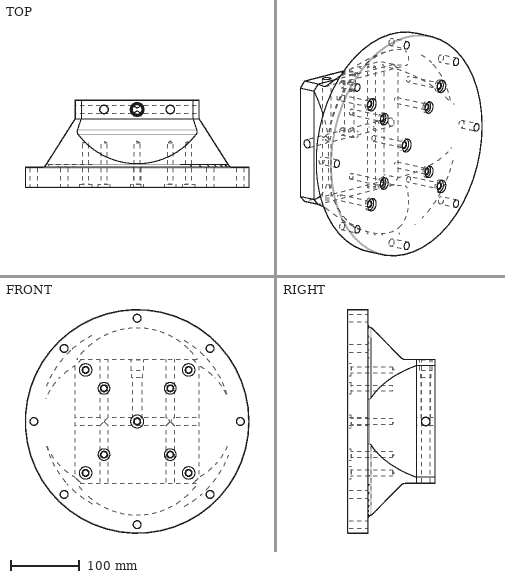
import cadquery as cq
import math

DISC_DIAMETER = 325.0
DISC_THICKNESS = 30.0
DISC_EDGE_RADIUS = 1.0
RIM_HOLE_COUNT = 8
RIM_HOLE_DIAMETER = 11.0
RIM_HOLE_CIRCLE_RADIUS = 149.8

TOTAL_DEPTH = 127.0
BLOCK_SIDE = 180.0
BLOCK_THICKNESS = 27.0
BLOCK_CORNER_CHAMFER = 9.0

CONE_BASE_RADIUS = 137.0
CONE_END_RADIUS = 121.2
SIDE_BASE_HALF_WIDTH = 134.5
TOP_BASE_HALF_HEIGHT = 141.0
STRAIGHT_LENGTH = 19.8
BEND_RADIUS = 9.0
FOOT_FILLET_RADIUS = 5.2

CROSS_HOLE_DIAMETER = 12.0
CROSS_HOLE_OFFSET = 48.0
AXIAL_HOLE_DIAMETER = 11.0
PORT_STEPS = [(18.2, 16.2), (16.0, 26.0), (14.0, BLOCK_SIDE / 2)]
PORT_MOUTH_DIAMETER = 20.0
CHAMFER_ANGLE = 45.0

DRILL_POINT_ANGLE = 118.0
DRILL_DIAMETER = 8.5
DRILL_MOUTH_DIAMETER = 10.0
COUNTERBORE_DEPTH = 5.0
INNER_HOLE_OFFSET = 48.0
INNER_COUNTERBORE_DIAMETER = 17.0
OUTER_HOLE_OFFSET = 74.8
OUTER_COUNTERBORE_DIAMETER = 18.2
CENTRE_COUNTERBORE_DIAMETER = 19.0
FRONT_HOLE_DEPTH = 65.0

BLOCK_FRONT_Y = TOTAL_DEPTH - BLOCK_THICKNESS
BLOCK_MIDDLE_Y = TOTAL_DEPTH - BLOCK_THICKNESS / 2
HALF_SIDE = BLOCK_SIDE / 2
DRILL_MOUTH_CHAMFER = (DRILL_MOUTH_DIAMETER - DRILL_DIAMETER) / 2
PORT_MOUTH_CHAMFER = (PORT_MOUTH_DIAMETER - PORT_STEPS[0][0]) / 2


def y_cylinder(diameter, x, z, length):
    """Cylinder along +Y that starts on the front plane, Y = 0."""
    return cq.Workplane("XZ").center(x, z).circle(diameter / 2).extrude(-length)


def front_hole(x, z, bore_diameter):
    """Counterbore, chamfered mouth, drilled hole and conical point along +Y."""
    bore_radius = bore_diameter / 2
    mouth_radius = DRILL_MOUTH_DIAMETER / 2
    drill_radius = DRILL_DIAMETER / 2
    point_length = drill_radius / math.tan(math.radians(DRILL_POINT_ANGLE / 2))
    profile = [
        (0, 0),
        (bore_radius, 0),
        (bore_radius, COUNTERBORE_DEPTH),
        (mouth_radius, COUNTERBORE_DEPTH),
        (drill_radius, COUNTERBORE_DEPTH + DRILL_MOUTH_CHAMFER),
        (drill_radius, FRONT_HOLE_DEPTH),
        (0, FRONT_HOLE_DEPTH + point_length),
    ]
    hole = cq.Workplane("XY").polyline(profile).close().revolve(360, (0, 0), (0, 1))
    return hole.translate((x, 0, z))


def cut_front_holes(body):
    body = body.cut(front_hole(0, 0, CENTRE_COUNTERBORE_DIAMETER))
    for offset, bore_diameter in (
        (INNER_HOLE_OFFSET, INNER_COUNTERBORE_DIAMETER),
        (OUTER_HOLE_OFFSET, OUTER_COUNTERBORE_DIAMETER),
    ):
        for x in (-offset, offset):
            for z in (-offset, offset):
                body = body.cut(front_hole(x, z, bore_diameter))
    return body


def foot():
    """Cone trimmed by sloping planes on its X sides and bent faces on its Z sides."""
    cone = (
        cq.Workplane("XY")
        .polyline([
            (0, DISC_THICKNESS),
            (CONE_BASE_RADIUS, DISC_THICKNESS),
            (CONE_END_RADIUS, BLOCK_FRONT_Y),
            (0, BLOCK_FRONT_Y),
        ])
        .close()
        .revolve(360, (0, 0), (0, 1))
    )
    x_sides = (
        cq.Workplane("XY")
        .polyline([
            (-SIDE_BASE_HALF_WIDTH, DISC_THICKNESS),
            (SIDE_BASE_HALF_WIDTH, DISC_THICKNESS),
            (HALF_SIDE, BLOCK_FRONT_Y),
            (-HALF_SIDE, BLOCK_FRONT_Y),
        ])
        .close()
        .extrude(DISC_DIAMETER / 2, both=True)
    )
    bend_y = BLOCK_FRONT_Y - STRAIGHT_LENGTH
    z_sides = (
        cq.Workplane("YZ")
        .polyline([
            (DISC_THICKNESS, -TOP_BASE_HALF_HEIGHT),
            (bend_y, -HALF_SIDE),
            (BLOCK_FRONT_Y, -HALF_SIDE),
            (BLOCK_FRONT_Y, HALF_SIDE),
            (bend_y, HALF_SIDE),
            (DISC_THICKNESS, TOP_BASE_HALF_HEIGHT),
        ])
        .close()
        .extrude(DISC_DIAMETER / 2, both=True)
    )
    z_sides = z_sides.edges("|X").edges(">>Y[1]").fillet(BEND_RADIUS)
    return cone.intersect(x_sides).intersect(z_sides)


def flange():
    """Disc and foot in one piece, filleted where they meet."""
    disc = y_cylinder(DISC_DIAMETER, 0, 0, DISC_THICKNESS)
    joined = disc.union(foot())
    back_face = joined.faces("+Y").faces("<Y")
    foot_seam = back_face.val().innerWires()[0].Edges()
    body = joined.newObject(foot_seam).fillet(FOOT_FILLET_RADIUS)
    rim = body.edges("%CIRCLE").edges(cq.selectors.RadiusNthSelector(-1))
    body = rim.fillet(DISC_EDGE_RADIUS)

    for i in range(RIM_HOLE_COUNT):
        angle = 2 * math.pi * i / RIM_HOLE_COUNT
        x = RIM_HOLE_CIRCLE_RADIUS * math.cos(angle)
        z = RIM_HOLE_CIRCLE_RADIUS * math.sin(angle)
        body = body.cut(y_cylinder(RIM_HOLE_DIAMETER, x, z, DISC_THICKNESS))
    return cut_front_holes(body)


def mounting_block():
    body = (
        cq.Workplane("XZ", origin=(0, BLOCK_FRONT_Y, 0))
        .rect(BLOCK_SIDE, BLOCK_SIDE)
        .extrude(-BLOCK_THICKNESS)
        .edges("|Y")
        .chamfer(BLOCK_CORNER_CHAMFER)
    )
    x_hole = (
        cq.Workplane("YZ", origin=(0, BLOCK_MIDDLE_Y, 0))
        .circle(CROSS_HOLE_DIAMETER / 2)
        .extrude(HALF_SIDE, both=True)
    )
    z_holes = (
        cq.Workplane("XY", origin=(0, BLOCK_MIDDLE_Y, 0))
        .pushPoints([(-CROSS_HOLE_OFFSET, 0), (CROSS_HOLE_OFFSET, 0)])
        .circle(CROSS_HOLE_DIAMETER / 2)
        .extrude(HALF_SIDE, both=True)
    )
    body = body.cut(x_hole).cut(z_holes)
    port_plane = cq.Workplane("XY", origin=(0, BLOCK_MIDDLE_Y, HALF_SIDE))
    for diameter, depth in PORT_STEPS:
        body = body.cut(port_plane.circle(diameter / 2).extrude(-depth))
    mouth = port_plane.circle(PORT_MOUTH_DIAMETER / 2).extrude(-PORT_MOUTH_CHAMFER, taper=CHAMFER_ANGLE)
    return body.cut(mouth).cut(y_cylinder(AXIAL_HOLE_DIAMETER, 0, 0, TOTAL_DEPTH))


flange_body = flange()
block_body = mounting_block()

result = cq.Compound.makeCompound([flange_body.val(), block_body.val()])